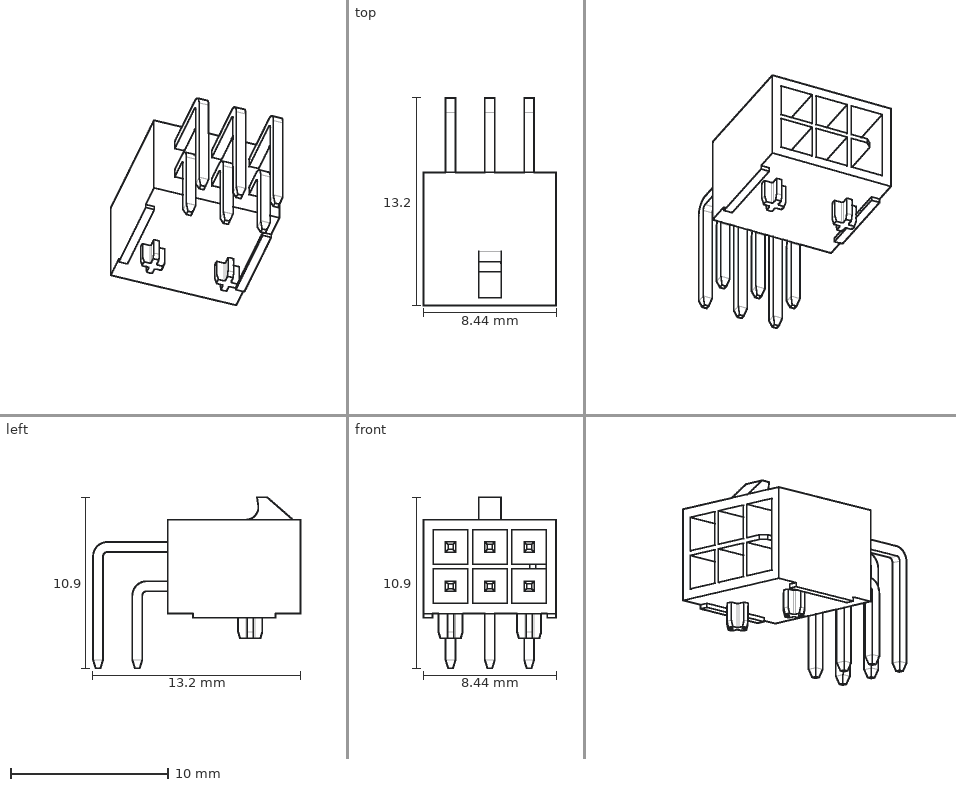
import cadquery as cq
import math


overall_depth = 13.21

width = 8.44
depth = 8.47
height = 5.98

pitch = 2.5
column_x = [-pitch, 0, pitch]
lower_row_z = (height - pitch) / 2
upper_row_z = (height + pitch) / 2

cell_size = 2.19
cell_depth = 6.87
cell_right_x = pitch + cell_size / 2
divider_thickness = pitch - cell_size

notch_mouth_x = 2.52
notch_x = 2.9
notch_depth = 3.96
notch_bevel = notch_x - notch_mouth_x

latch_width = 1.43
latch_height = 1.43
ramp_start_y = 0.5
ramp_end_y = 2.14
latch_top_back_y = 2.79
latch_waist_y = 2.71
latch_waist_height = 0.89
latch_foot_y = 3.46

rail_width = 0.58
rail_height = 0.26
rail_front_y = 1.6
rail_back_y = 6.85

peg_y = 3.21
peg_radius = 0.78
peg_end_radius = 0.66
peg_length = 1.57
peg_taper_length = 0.41
peg_arm_thickness = 0.38
peg_corner_radius = 0.09

pin_size = 0.65
pin_tip_size = 0.32
pin_tip_length = 0.54
pin_front_y = 1.98
pin_end_z = -3.47
upper_leg_y = overall_depth - pin_size / 2
lower_leg_y = upper_leg_y - pitch
bend_inner_radius = 0.28


def box(x_range, y_range, z_range):
    """Block that spans the given (low, high) range along each axis."""
    lows, highs = zip(x_range, y_range, z_range)
    size = [high - low for low, high in zip(lows, highs)]
    return cq.Workplane("XY").box(*size, centered=False).translate(lows)


def square_bar(x, z, size, y_range):
    """Square bar along Y centred on (x, z)."""
    half = size / 2
    return box((x - half, x + half), y_range, (z - half, z + half))


def make_latch():
    """Ramp rising from the front, with an undercut back that curves out into the roof."""
    outline = (
        cq.Workplane("YZ", origin=(-latch_width / 2, 0, height))
        .moveTo(ramp_start_y, 0)
        .lineTo(ramp_end_y, latch_height)
        .lineTo(latch_top_back_y, latch_height)
        .lineTo(latch_waist_y, latch_waist_height)
        .tangentArcPoint((latch_foot_y, 0), relative=False)
        .close()
    )
    return outline.extrude(latch_width)


def make_rail(side):
    """Standoff rail flush with one side wall; side is -1 or 1."""
    inner_x = side * (width / 2 - rail_width)
    outer_x = side * width / 2
    return box(sorted((inner_x, outer_x)), (rail_front_y, rail_back_y), (-rail_height, 0))


def make_peg(x):
    """Peg of cross section, trimmed to a round envelope with a tapered end."""
    arm_length = 2 * peg_radius
    base = cq.Workplane("XY")
    arm_along_x = base.rect(arm_length, peg_arm_thickness).extrude(-peg_length)
    arm_along_y = base.rect(peg_arm_thickness, arm_length).extrude(-peg_length)
    reach = peg_arm_thickness
    inner_corners = cq.selectors.BoxSelector((-reach, -reach, -peg_length), (reach, reach, 0))
    cross = arm_along_x.union(arm_along_y).edges("|Z").edges(inner_corners).fillet(peg_corner_radius)
    envelope = (
        cq.Workplane("XZ")
        .lineTo(peg_radius, 0)
        .lineTo(peg_radius, peg_taper_length - peg_length)
        .lineTo(peg_end_radius, -peg_length)
        .lineTo(0, -peg_length)
        .close()
        .revolve(360, (0, 0), (0, 1))
    )
    return cross.intersect(envelope).translate((x, peg_y, 0))


def make_notch():
    """Opening in the right-hand divider, its mouth widened by a 45 degree bevel."""
    return (
        cq.Workplane("XY", origin=(0, 0, (height - divider_thickness) / 2))
        .moveTo(notch_mouth_x, 0)
        .lineTo(cell_right_x, 0)
        .lineTo(cell_right_x, notch_depth)
        .lineTo(notch_x, notch_depth)
        .lineTo(notch_x, notch_bevel)
        .close()
        .extrude(divider_thickness)
    )


def make_housing():
    body = box((-width / 2, width / 2), (0, depth), (0, height))
    body = body.union(make_latch())
    for side in (-1, 1):
        body = body.union(make_rail(side))
        body = body.union(make_peg(side * pitch))
    for x in column_x:
        for z in (lower_row_z, upper_row_z):
            body = body.cut(square_bar(x, z, cell_size, (0, cell_depth)))
            body = body.cut(square_bar(x, z, pin_size, (cell_depth, depth)))
    return body.cut(make_notch())


def make_tip(plane):
    """Blunt pyramid that continues a pin end along the normal of the plane."""
    taper = math.degrees(math.atan((pin_size - pin_tip_size) / 2 / pin_tip_length))
    return cq.Workplane(plane).rect(pin_size, pin_size).extrude(pin_tip_length, taper=taper)


def make_pin(x, z, leg_y):
    """Square pin that runs back along Y at height z, then bends down at leg_y."""
    half = pin_size / 2
    shaft_front_y = pin_front_y + pin_tip_length
    leg_end_z = pin_end_z + pin_tip_length
    bend_outer_radius = bend_inner_radius + pin_size
    bend_y = leg_y + half - bend_outer_radius
    bend_z = z + half - bend_outer_radius
    diagonal = math.sqrt(0.5)
    outer_mid = (bend_y + bend_outer_radius * diagonal, bend_z + bend_outer_radius * diagonal)
    inner_mid = (bend_y + bend_inner_radius * diagonal, bend_z + bend_inner_radius * diagonal)
    bent_bar = (
        cq.Workplane("YZ", origin=(x - half, 0, 0))
        .moveTo(shaft_front_y, z + half)
        .lineTo(bend_y, z + half)
        .threePointArc(outer_mid, (leg_y + half, bend_z))
        .lineTo(leg_y + half, leg_end_z)
        .lineTo(leg_y - half, leg_end_z)
        .lineTo(leg_y - half, bend_z)
        .threePointArc(inner_mid, (bend_y, z - half))
        .lineTo(shaft_front_y, z - half)
        .close()
        .extrude(pin_size)
    )
    front_tip = make_tip(cq.Plane((x, shaft_front_y, z), xDir=(1, 0, 0), normal=(0, -1, 0)))
    leg_tip = make_tip(cq.Plane((x, leg_y, leg_end_z), xDir=(1, 0, 0), normal=(0, 0, -1)))
    return bent_bar.union(front_tip).union(leg_tip)


housing = make_housing()
pins = []
for x in column_x:
    pins.append(make_pin(x, upper_row_z, upper_leg_y))
    pins.append(make_pin(x, lower_row_z, lower_leg_y))

result = cq.Compound.makeCompound([housing.solids().val(), *[pin.solids().val() for pin in pins]])